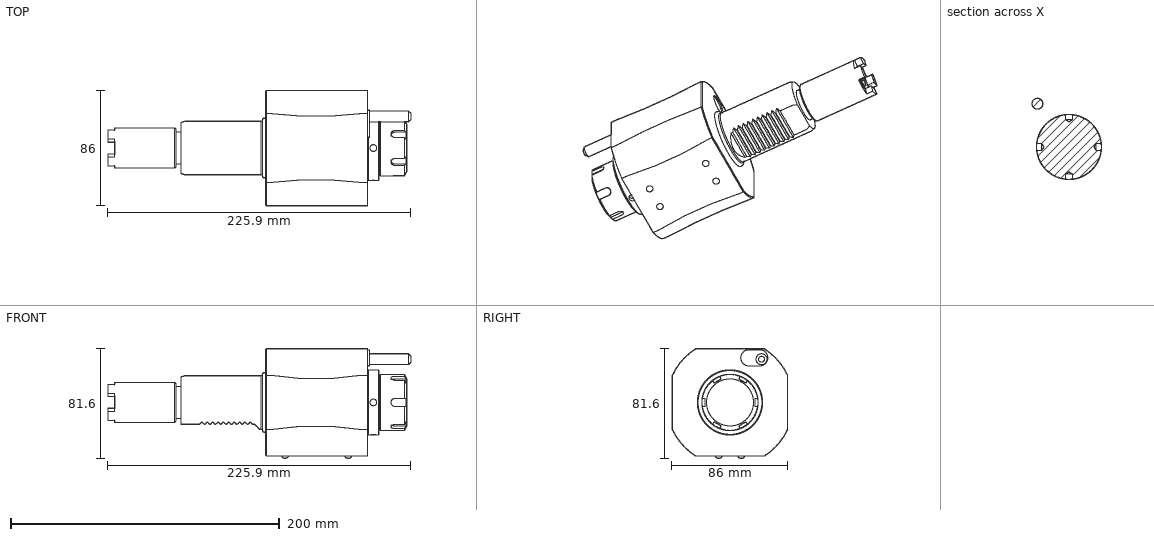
import cadquery as cq
import math


housing_length = 76.0
housing_width = 86.0
housing_height = 80.0
corner_radius = 47.5
waist_radius = 46.4
front_land = 4.0
rear_land = 5.0
housing_chamfer = 0.7

recess_radius = 7.5
recess_depth = 1.0
recess_y = 16.0
recess_z = 27.7

pin_head_radius = 2.5
pin_head_height = 1.6
pin_head_spacing_x = 47.0
pin_head_spacing_y = 16.8

shank_radius = 20.0
shank_length = 63.0
lead_in_length = 3.0
lead_in_step = 0.9
runout_start = -3.5
runout_radius = 20.4
shoulder_start = -2.4
shoulder_radius = 22.3
shoulder_rounding_length = 1.4
flat_height = 16.4
flat_end = -8.1

rack_pitch = 4.0
rack_groove_count = 10
rack_first_groove = -47.4
rack_groove_width = 3.6
rack_groove_depth = 1.8

neck_radius = 12.0
drive_radius = 15.0
drive_body_start = -112.5
drive_body_end = -66.7
drive_body_chamfer = 1.0
dog_length = 5.0
dog_inner_radius = 9.8
dog_count = 4
dog_gap_half_angle = 26.0

drive_recess_radii = (dog_inner_radius, 5.9, 1.7)
drive_recess_step = 0.4

collar_radius = 24.3
collar_end = 84.4
collar_chamfer = 0.5
spigot_radius = 17.0
wrench_hole_radius = 2.5
wrench_hole_depth = 4.0
wrench_hole_x = 80.2
wrench_hole_count = 4
drill_tip_angle = 118.0

nut_radius = 21.0
nut_start = 85.2
nut_end = 105.2
nut_edge_chamfer = 0.5
nut_chamfer_length = 1.8
nut_chamfer_height = 3.5
nut_slot_count = 6
nut_slot_start = 93.4
nut_slot_width = 6.0
nut_slot_floor = 18.5

pin_y = 23.5
pin_z = 32.2
pin_radius = 4.1
pin_end = 108.39
pin_chamfer = 1.9

plate_y = 18.1
plate_z = 33.2
plate_length = 20.2
plate_height = 12.0
plate_thickness = 1.4


def revolve_about_x(profile):
    return profile.close().revolve(360, (0, 0, 0), (1, 0, 0))


def rod(start, end, radius, y=0.0, z=0.0):
    """Cylinder parallel to X between two X positions."""
    return cq.Workplane("YZ", origin=(start, y, z)).circle(radius).extrude(end - start)


def make_housing():
    block = (
        cq.Workplane("YZ")
        .rect(housing_width, housing_height)
        .extrude(housing_length)
    )
    waist_start = front_land
    waist_end = housing_length - rear_land
    waist_middle = (waist_start + waist_end) / 2
    envelope = revolve_about_x(
        cq.Workplane("XY")
        .lineTo(0, corner_radius - housing_chamfer)
        .lineTo(housing_chamfer, corner_radius)
        .lineTo(waist_start, corner_radius)
        .threePointArc((waist_middle, waist_radius), (waist_end, corner_radius))
        .lineTo(housing_length, corner_radius)
        .lineTo(housing_length, 0)
    )
    block = block.faces("<X").chamfer(housing_chamfer).intersect(envelope)
    return block.cut(rod(0, recess_depth, recess_radius, recess_y, recess_z))


def make_pin_heads():
    """Domed heads, embedded in the underside by one pin radius."""
    bottom = -housing_height / 2
    head_profile = (
        cq.Workplane("XZ")
        .moveTo(0, pin_head_radius)
        .lineTo(0, -pin_head_height)
        .threePointArc(
            (pin_head_radius * math.sin(math.pi / 4), -pin_head_height * math.cos(math.pi / 4)),
            (pin_head_radius, 0),
        )
        .lineTo(pin_head_radius, pin_head_radius)
        .close()
    )
    head = head_profile.revolve(360, (0, 0, 0), (0, 1, 0))
    heads = cq.Workplane("XY")
    for side_x in (-1, 1):
        for side_y in (-1, 1):
            x = housing_length / 2 + side_x * pin_head_spacing_x / 2
            y = side_y * pin_head_spacing_y / 2
            heads = heads.add(head.translate((x, y, bottom)))
    return heads.combine()


def make_shank_body():
    shoulder_arc_end = shoulder_start + shoulder_rounding_length
    shoulder_step = shoulder_radius - runout_radius
    shoulder_arc_middle = (
        shoulder_arc_end - shoulder_rounding_length * math.cos(math.pi / 4),
        runout_radius + shoulder_step * math.sin(math.pi / 4),
    )
    return revolve_about_x(
        cq.Workplane("XY")
        .moveTo(-shank_length, 0)
        .lineTo(-shank_length, shank_radius - lead_in_step)
        .lineTo(-shank_length + lead_in_length, shank_radius)
        .lineTo(runout_start, shank_radius)
        .lineTo(shoulder_start, runout_radius)
        .threePointArc(shoulder_arc_middle, (shoulder_arc_end, shoulder_radius))
        .lineTo(0, shoulder_radius)
        .lineTo(0, 0)
    )


def make_flat_cutter():
    """Removes the underside of the shank, running out on a 45 degree ramp."""
    ramp = shank_radius - flat_height
    return (
        cq.Workplane("XZ")
        .moveTo(-shank_length, -flat_height)
        .lineTo(flat_end, -flat_height)
        .lineTo(flat_end + ramp, -shank_radius)
        .lineTo(-shank_length, -shank_radius)
        .close()
        .extrude(shank_radius, both=True)
    )


def make_rack_cutter():
    cutter = cq.Workplane("XZ")
    for index in range(rack_groove_count):
        x = rack_first_groove + index * rack_pitch
        groove = (
            cq.Workplane("XZ")
            .moveTo(x - rack_groove_width / 2, -flat_height)
            .lineTo(x, -flat_height + rack_groove_depth)
            .lineTo(x + rack_groove_width / 2, -flat_height)
            .close()
            .extrude(shank_radius, both=True)
        )
        cutter = cutter.add(groove)
    return cutter.combine()


def make_drive_end():
    neck = rod(drive_body_end, -shank_length, neck_radius)
    body = rod(drive_body_start, drive_body_end, drive_radius).faces(">X").chamfer(drive_body_chamfer)
    body = body.union(neck).union(make_drive_dogs())
    for level, radius in enumerate(drive_recess_radii, start=1):
        body = body.cut(rod(drive_body_start, drive_body_start + level * drive_recess_step, radius))
    return body


def make_drive_dogs():
    """Ring of dogs with radial flanks, the gaps centred on the Y and Z axes."""
    ring = (
        cq.Workplane("YZ", origin=(drive_body_start - dog_length, 0, 0))
        .circle(drive_radius)
        .circle(dog_inner_radius)
        .extrude(dog_length)
    )
    reach = 2 * drive_radius
    half_width = reach * math.tan(math.radians(dog_gap_half_angle))
    gap = (
        cq.Workplane("YZ", origin=(drive_body_start - dog_length, 0, 0))
        .polyline([(0, 0), (reach, -half_width), (reach, half_width)])
        .close()
        .extrude(dog_length)
    )
    for index in range(dog_count):
        ring = ring.cut(gap.rotate((0, 0, 0), (1, 0, 0), index * 360 / dog_count))
    return ring


def make_collar():
    collar = rod(housing_length, collar_end, collar_radius).faces("<X or >X").chamfer(collar_chamfer)
    tip_height = wrench_hole_radius / math.tan(math.radians(drill_tip_angle / 2))
    floor = collar_radius - wrench_hole_depth
    wrench_hole = (
        cq.Workplane("XY")
        .moveTo(0, floor - tip_height)
        .lineTo(wrench_hole_radius, floor)
        .lineTo(wrench_hole_radius, collar_radius)
        .lineTo(0, collar_radius)
        .close()
        .revolve(360, (0, 0, 0), (0, 1, 0))
        .translate((wrench_hole_x, 0, 0))
    )
    for index in range(wrench_hole_count):
        collar = collar.cut(wrench_hole.rotate((0, 0, 0), (1, 0, 0), index * 360 / wrench_hole_count))
    return collar.union(rod(collar_end, nut_start, spigot_radius))


def make_nut():
    nut = revolve_about_x(
        cq.Workplane("XY")
        .moveTo(nut_start, 0)
        .lineTo(nut_start, nut_radius - nut_edge_chamfer)
        .lineTo(nut_start + nut_edge_chamfer, nut_radius)
        .lineTo(nut_end - nut_chamfer_length, nut_radius)
        .lineTo(nut_end, nut_radius - nut_chamfer_height)
        .lineTo(nut_end, 0)
    )
    slot_radius = nut_slot_width / 2
    arc_center = nut_slot_start + slot_radius
    slot = (
        cq.Workplane("XZ", origin=(0, -nut_slot_floor, 0))
        .moveTo(nut_end, slot_radius)
        .lineTo(arc_center, slot_radius)
        .threePointArc((nut_slot_start, 0), (arc_center, -slot_radius))
        .lineTo(nut_end, -slot_radius)
        .close()
        .extrude(nut_radius - nut_slot_floor)
    )
    for index in range(nut_slot_count):
        nut = nut.cut(slot.rotate((0, 0, 0), (1, 0, 0), index * 360 / nut_slot_count))
    return nut


def make_locating_pin():
    pin = rod(housing_length, pin_end, pin_radius, pin_y, pin_z).faces(">X").chamfer(pin_chamfer)
    plate = (
        cq.Workplane("YZ", origin=(housing_length, plate_y, plate_z))
        .slot2D(plate_length, plate_height)
        .extrude(plate_thickness)
    )
    return pin.union(plate)


shank = make_shank_body().cut(make_flat_cutter()).cut(make_rack_cutter())
result = (
    make_housing()
    .union(make_pin_heads())
    .union(shank)
    .union(make_drive_end())
    .union(make_collar())
    .union(make_nut())
    .union(make_locating_pin())
)